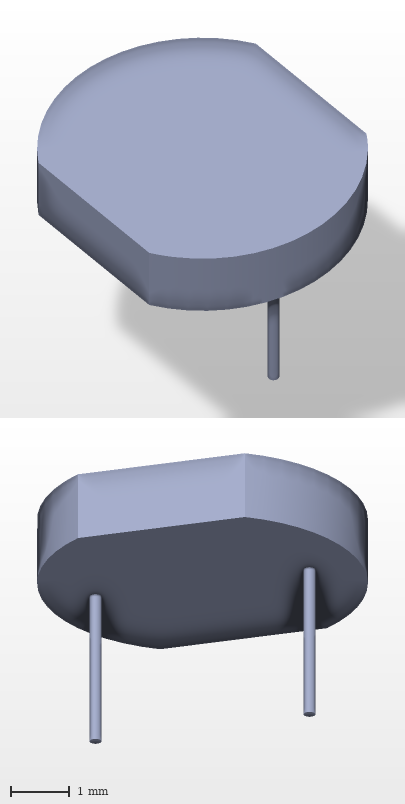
import cadquery as cq
import math

disc_radius = 2.81
disc_depth = 4.775
disc_height = 1.19

lead_diameter = 0.2
lead_length = 2.7
lead_spacing = 3.8
terminal_diameter = 0.4
lead_places = [(-lead_spacing / 2, 0), (lead_spacing / 2, 0)]

inlay_thickness = 0.01
track_width = 0.28
turn_diameter = 0.35
turn_pitch = 0.3646
left_turn_x = [-1.36, -1.67, -1.24, -1.18, -1.695, -1.36]
right_turn_x = [1.225, 0.96, 0.685, 0.96, 1.225]

turn_count = len(left_turn_x) + len(right_turn_x)
outer_turn_radius = (turn_diameter + track_width) / 2
inner_turn_radius = (turn_diameter - track_width) / 2
inlay_floor = disc_height - inlay_thickness


def turn_centre(index):
    """Centre of a serpentine turn; even turns are on the left, odd ones on the right."""
    side = left_turn_x if index % 2 == 0 else right_turn_x
    y = ((turn_count - 1) / 2 - index) * turn_pitch
    return side[index // 2], y


def chord_x(radius, y):
    """The x at which a circle about the origin reaches height y on its +X side."""
    return math.sqrt(radius**2 - y**2)


def add_track_edge(sketch, left_radius, right_radius, order):
    """Draw one edge of the serpentine, going through the turns in the given order."""
    downward = order[0] < order[-1]
    for index in order:
        x, y = turn_centre(index)
        radius, outward = (left_radius, -1) if index % 2 == 0 else (right_radius, 1)
        rise = radius if downward else -radius
        sketch = sketch.lineTo(x, y + rise)
        sketch = sketch.threePointArc((x + outward * radius, y), (x, y - rise))
    return sketch


def make_disc():
    stock = cq.Workplane("XY").circle(disc_radius).extrude(disc_height)
    flats = cq.Workplane("XY").rect(2 * disc_radius, disc_depth).extrude(disc_height)
    return stock.intersect(flats)


def make_track():
    """Closed track: a serpentine whose two ends are joined by a band along the +X rim."""
    first_turn_y = turn_centre(0)[1]
    outer_y = first_turn_y + outer_turn_radius
    inner_y = first_turn_y + inner_turn_radius
    band_radius = disc_radius - track_width
    rim_x = chord_x(disc_radius, outer_y)
    band_x = chord_x(band_radius, inner_y)
    downward = list(range(turn_count))
    upward = downward[::-1]

    outer = cq.Workplane("XY", origin=(0, 0, inlay_floor)).moveTo(rim_x, outer_y)
    outer = add_track_edge(outer, outer_turn_radius, inner_turn_radius, downward)
    outer = outer.lineTo(rim_x, -outer_y).threePointArc((disc_radius, 0), (rim_x, outer_y)).close()

    inner = cq.Workplane("XY", origin=(0, 0, inlay_floor)).moveTo(band_x, -inner_y)
    inner = add_track_edge(inner, inner_turn_radius, outer_turn_radius, upward)
    inner = inner.lineTo(band_x, inner_y).threePointArc((band_radius, 0), (band_x, -inner_y)).close()
    return outer.extrude(inlay_thickness).cut(inner.extrude(inlay_thickness))


def make_terminals():
    terminals = cq.Workplane("XY", origin=(0, 0, inlay_floor)).pushPoints(lead_places)
    return terminals.circle(terminal_diameter / 2).extrude(inlay_thickness)


def make_leads():
    leads = cq.Workplane("XY").pushPoints(lead_places)
    return leads.circle(lead_diameter / 2).extrude(-lead_length)


result = make_disc().union(make_leads())
for inlay in (make_track(), make_terminals()):
    result = result.cut(inlay, clean=False).union(inlay, clean=False)